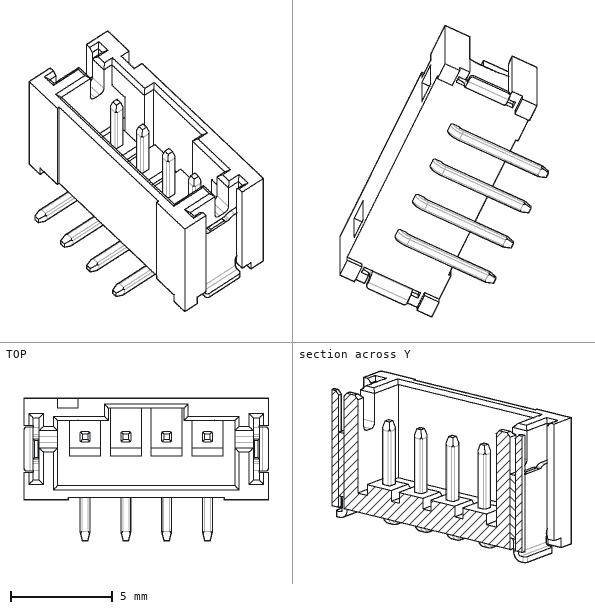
import cadquery as cq
import math


length = 12.0
depth = 5.0
top_z = 6.6
base_z = 0.6
lead_in = 0.2

foot_x = 5.15
foot_y = 1.7
foot_z = 0.1

cavity_half_x = 4.35
cavity_front_y = -1.8
cavity_back_y = 1.4
key_half_x = 1.85
key_back_y = 2.0
floor_z = 1.6

seat_width = 1.52
seat_height = 0.55
seat_front_y = 0.05
seat_toe_y = -0.35

front_recess_half_x = 3.82
front_recess = 0.12
mark_width = 1.0
mark_depth = 0.5
mark_height = 1.0
window_width = 1.0
window_top_z = 4.8

tab_outer_x = 5.55
tab_thickness = 0.3
tab_inner_x = tab_outer_x - tab_thickness
tab_half_y = 1.53
tab_opening_half_y = 1.15
notch_y_min = 0.05
notch_y_max = 0.9
notch_floor_z = 4.65
notch_radius = 0.28

tab_shoulder_z = 4.5
tab_dip_z = 4.35
tab_shoulder_half_y = 1.05
tab_dip_half_y = 0.61
tab_dip_blend_y = 0.7
tab_neck_half_y = 1.09
tab_neck_top_z = 1.2
tab_neck_radius = 0.3
tab_bend_radius = 0.15
tab_corner_radius = 0.15
tip_base_half_y = 0.48
tip_height = 0.08
tip_inset = 0.06

pin_count = 4
pin_pitch = 2.0
pin_size = 0.5
pin_edge = 0.1
pin_y = 0.6
pin_top_z = 5.4
pin_tail_y = -4.5
pin_bend_radius = 0.4
point_length = 0.45
point_size = 0.27

pin_xs = [(i - (pin_count - 1) / 2) * pin_pitch for i in range(pin_count)]


def block(x0, x1, y0, y1, z0, z1):
    return cq.Workplane("XY").box(x1 - x0, y1 - y0, z1 - z0, centered=False).translate((x0, y0, z0))


def both_ends(shape):
    return shape.union(shape.mirror("YZ"))


def top_opening(outline, bottom_z):
    """Straight cutter through the top face, with the lead-in chamfer at its mouth."""
    wire = outline.val()
    wide_wire = wire.offset2D(lead_in, "intersection")[0]
    rise = cq.Vector(0, 0, top_z - bottom_z)
    shaft = cq.Workplane("XY").add(cq.Solid.extrudeLinear(wire, [], rise)).translate((0, 0, bottom_z))
    throat = wire.translate(cq.Vector(0, 0, top_z - lead_in))
    rim = wide_wire.translate(cq.Vector(0, 0, top_z))
    mouth = cq.Workplane("XY").add(cq.Solid.makeLoft([throat, rim], True))
    return shaft.union(mouth)


def cavity_cutter():
    outline = (
        cq.Workplane("XY")
        .moveTo(-cavity_half_x, cavity_front_y)
        .lineTo(cavity_half_x, cavity_front_y)
        .lineTo(cavity_half_x, cavity_back_y)
        .lineTo(key_half_x, cavity_back_y)
        .lineTo(key_half_x, key_back_y)
        .lineTo(-key_half_x, key_back_y)
        .lineTo(-key_half_x, cavity_back_y)
        .lineTo(-cavity_half_x, cavity_back_y)
        .close()
    )
    return top_opening(outline, floor_z)


def tab_slot_cutter():
    """Slot holding the left tab, open at the bottom and partly open to the outside."""
    outline = cq.Workplane("XY").center(-tab_outer_x + tab_thickness / 2, 0).rect(tab_thickness, 2 * tab_half_y)
    opening = block(-length / 2, -tab_inner_x, -tab_opening_half_y, tab_opening_half_y, foot_z, top_z)
    return top_opening(outline, foot_z).union(opening)


def notch_cutter():
    """Round-bottomed notch in the left end wall, joining the cavity and the tab slot."""
    wall = tab_inner_x - cavity_half_x
    slot = (
        block(-tab_inner_x, -cavity_half_x, notch_y_min, notch_y_max, notch_floor_z, top_z)
        .edges("|X and <Z")
        .fillet(notch_radius)
    )
    mouth = (
        cq.Workplane("YZ", origin=(-tab_inner_x, 0, 0))
        .moveTo(notch_y_min, top_z - lead_in)
        .lineTo(notch_y_max, top_z - lead_in)
        .lineTo(notch_y_max + lead_in, top_z)
        .lineTo(notch_y_min - lead_in, top_z)
        .close()
        .extrude(wall)
    )
    return slot.union(mouth)


def seat(x):
    """Raised block at the foot of a pin, sloping at the front and reaching the back wall."""
    back_y = key_back_y if abs(x) < key_half_x else cavity_back_y
    return (
        cq.Workplane("YZ", origin=(x - seat_width / 2, 0, 0))
        .moveTo(back_y, floor_z)
        .lineTo(back_y, floor_z + seat_height)
        .lineTo(seat_front_y, floor_z + seat_height)
        .lineTo(seat_toe_y, floor_z)
        .close()
        .extrude(seat_width)
    )


def make_housing():
    half_x = length / 2
    half_y = depth / 2
    body = block(-half_x, half_x, -half_y, half_y, foot_z, top_z)
    body = body.cut(block(-half_x, half_x, -foot_y, foot_y, foot_z, base_z))
    body = body.cut(block(-foot_x, foot_x, -half_y, half_y, foot_z, base_z))
    body = body.cut(cavity_cutter())
    body = body.cut(both_ends(tab_slot_cutter()))
    body = body.cut(both_ends(notch_cutter()))
    window_x = cavity_half_x - window_width
    body = body.cut(both_ends(block(window_x, cavity_half_x, cavity_back_y, half_y, floor_z, window_top_z)))
    recess_y = -half_y + front_recess
    body = body.cut(block(-front_recess_half_x, front_recess_half_x, -half_y, recess_y, base_z, top_z))
    mark_x = -cavity_half_x
    body = body.cut(block(mark_x, mark_x + mark_width, half_y - mark_depth, half_y, top_z - mark_height, top_z))
    for x in pin_xs:
        body = body.union(seat(x))
    return body


def pin_limb(limb_length):
    """Rounded square bar along +Z from the origin, ending in a blunt four-sided point."""
    shank_length = limb_length - point_length
    bar = cq.Workplane("XY").rect(pin_size, pin_size).extrude(limb_length).edges("|Z").fillet(pin_edge)
    taper = math.degrees(math.atan((pin_size - point_size) / 2 / point_length))
    shank = cq.Workplane("XY").rect(pin_size, pin_size).extrude(shank_length)
    point = cq.Workplane("XY", origin=(0, 0, shank_length)).rect(pin_size, pin_size)
    return bar.intersect(shank.union(point.extrude(point_length, taper=taper)))


def make_pin(x):
    """Upright contact, bent to run out along -Y as a solder tail."""
    tail_z = pin_size / 2
    bend_z = tail_z + pin_bend_radius
    bend_y = pin_y - pin_bend_radius
    upright = pin_limb(pin_top_z - bend_z).translate((x, pin_y, bend_z))
    tail = pin_limb(bend_y - pin_tail_y).rotate((0, 0, 0), (1, 0, 0), 90).translate((x, bend_y, tail_z))
    section = cq.Sketch().rect(pin_size, pin_size).vertices().fillet(pin_edge)
    bend = (
        cq.Workplane("XY", origin=(x, pin_y, bend_z))
        .placeSketch(section)
        .revolve(90, (1, -pin_bend_radius, 0), (-1, -pin_bend_radius, 0))
    )
    return upright.union(bend).union(tail)


def tab_dip_cutter():
    """Shallow dip in the tab's upper edge, blended to the shoulders by S-curves of two tangent arcs."""
    run = tab_shoulder_half_y - tab_dip_half_y
    drop = tab_shoulder_z - tab_dip_z
    concave_run = tab_dip_blend_y - tab_dip_half_y
    convex_run = run - concave_run
    half_dip = (
        cq.Workplane("YZ", origin=(-tab_outer_x, 0, 0))
        .moveTo(0, tab_dip_z)
        .lineTo(tab_dip_half_y, tab_dip_z)
        .tangentArcPoint((concave_run, drop * concave_run / run))
        .tangentArcPoint((convex_run, drop * convex_run / run))
        .lineTo(0, tab_shoulder_z)
        .close()
        .extrude(tab_thickness)
    )
    return half_dip.union(half_dip.mirror("XZ"))


def tab_tip():
    """Coined tip standing in the dip, tapering on all four sides."""
    centre_x = -tab_outer_x + tab_thickness / 2
    taper = math.degrees(math.atan(tip_inset / tip_height))
    tip = cq.Workplane("XY", origin=(centre_x, 0, tab_dip_z)).rect(tab_thickness, 2 * tip_base_half_y)
    return tip.extrude(tip_height, taper=taper)


def make_left_tab():
    """Sheet-metal tab: an upright blade bent outwards into a solder foot."""
    outer_bend = tab_bend_radius + tab_thickness
    bend_x = -tab_outer_x - tab_bend_radius
    diagonal = math.sqrt(0.5)
    strip = (
        cq.Workplane("XZ", origin=(0, tab_half_y, 0))
        .moveTo(-length / 2, 0)
        .lineTo(bend_x, 0)
        .threePointArc(
            (bend_x + outer_bend * diagonal, outer_bend * (1 - diagonal)),
            (-tab_inner_x, outer_bend),
        )
        .lineTo(-tab_inner_x, tab_shoulder_z)
        .lineTo(-tab_outer_x, tab_shoulder_z)
        .lineTo(-tab_outer_x, outer_bend)
        .threePointArc(
            (bend_x + tab_bend_radius * diagonal, outer_bend - tab_bend_radius * diagonal),
            (bend_x, tab_thickness),
        )
        .lineTo(-length / 2, tab_thickness)
        .close()
        .extrude(2 * tab_half_y)
    )
    side = block(-length / 2, -tab_inner_x, tab_neck_half_y, tab_half_y + tab_neck_radius, 0, tab_neck_top_z)
    side = side.edges("|X and >Z and <Y").fillet(tab_neck_radius)
    strip = strip.cut(side).cut(side.mirror("XZ"))
    strip = strip.edges("|Z and <X").fillet(tab_corner_radius)
    return strip.cut(tab_dip_cutter()).union(tab_tip())


housing = make_housing()
for x in pin_xs:
    housing = housing.union(make_pin(x))
left_tab = make_left_tab()
right_tab = left_tab.mirror("YZ")

result = cq.Compound.makeCompound([body.solids().val() for body in (housing, left_tab, right_tab)])